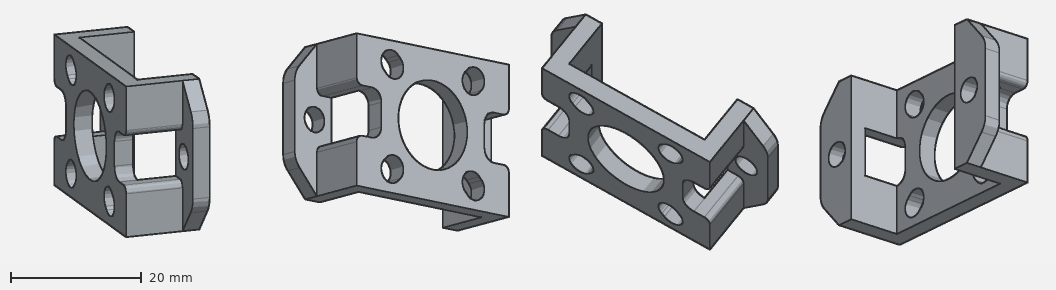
import cadquery as cq
import math

total_width = 40.0
depth = 12.0
height = 24.0
body_width = 31.0
wall = 3.0
flange_thickness = 2.75

flange_edge_half_height = 7.0
flange_corner_radius = 3.6
flange_hole_diameter = 4.0
flange_hole_spacing = 32.0

bore_diameter = 14.0
slot_width = 4.0
slot_travel = 0.7
slot_spacing = 16.5

notch_height = 7.9
notch_floor_spacing = 21.0
notch_inner_radius = 2.0
notch_mouth_radius = 1.1

half_body = body_width / 2
flange_front = depth - flange_thickness
SIDES = (-1, 1)


def front_sketch(y):
    """Workplane facing -Y at the given depth; it extrudes toward -Y."""
    return cq.Workplane("XZ", origin=(0, y, 0))


def box_between(x_size, y_start, y_end):
    return front_sketch(y_end).rect(x_size, height).extrude(y_end - y_start)


def make_channel():
    """U-shaped body: front plate with two side walls running back."""
    outside = box_between(body_width, 0, depth)
    return outside.cut(box_between(body_width - 2 * wall, wall, depth))


def make_notch(side):
    """Notch through a side wall and the plate edge, in front of the flange."""
    floor = side * notch_floor_spacing / 2
    face = side * half_body
    mouth = face + side * notch_mouth_radius
    fillet_start = face - side * notch_mouth_radius
    half = notch_height / 2
    flared = half + notch_mouth_radius
    arc_inset = notch_mouth_radius * (1 - math.sqrt(0.5))
    arc_middle = face - side * arc_inset
    profile = (
        front_sketch(flange_front)
        .moveTo(floor, -half)
        .lineTo(fillet_start, -half)
        .threePointArc((arc_middle, -half - arc_inset), (face, -flared))
        .lineTo(mouth, -flared)
        .lineTo(mouth, flared)
        .lineTo(face, flared)
        .threePointArc((arc_middle, half + arc_inset), (fillet_start, half))
        .lineTo(floor, half)
        .close()
        .extrude(flange_front)
    )
    floor_face = "<X" if side > 0 else ">X"
    return profile.faces(floor_face).edges("|Y").fillet(notch_inner_radius)


def make_flange(side):
    """Tapered ear at the back of a side wall, reaching to the wall's inner face."""
    inner = side * (half_body - wall)
    face = side * half_body
    tip = side * total_width / 2
    ear = (
        front_sketch(depth)
        .polyline([
            (inner, -height / 2),
            (face, -height / 2),
            (tip, -flange_edge_half_height),
            (tip, flange_edge_half_height),
            (face, height / 2),
            (inner, height / 2),
        ])
        .close()
        .extrude(flange_thickness)
    )
    tip_face = ">X" if side > 0 else "<X"
    return ear.faces(tip_face).edges("|Y").fillet(flange_corner_radius)


def make_mounting_slot(x_side, z_side):
    """Short slot through the front plate, elongated radially from the bore."""
    return (
        front_sketch(wall)
        .center(x_side * slot_spacing / 2, z_side * slot_spacing / 2)
        .slot2D(slot_width + slot_travel, slot_width, 45 * x_side * z_side)
        .extrude(wall)
    )


result = make_channel()
for side in SIDES:
    result = result.cut(make_notch(side)).union(make_flange(side))

bore = front_sketch(wall).circle(bore_diameter / 2).extrude(wall)
flange_holes = (
    front_sketch(depth)
    .pushPoints([(side * flange_hole_spacing / 2, 0) for side in SIDES])
    .circle(flange_hole_diameter / 2)
    .extrude(flange_thickness)
)
result = result.cut(bore).cut(flange_holes)

for x_side in SIDES:
    for z_side in SIDES:
        result = result.cut(make_mounting_slot(x_side, z_side))